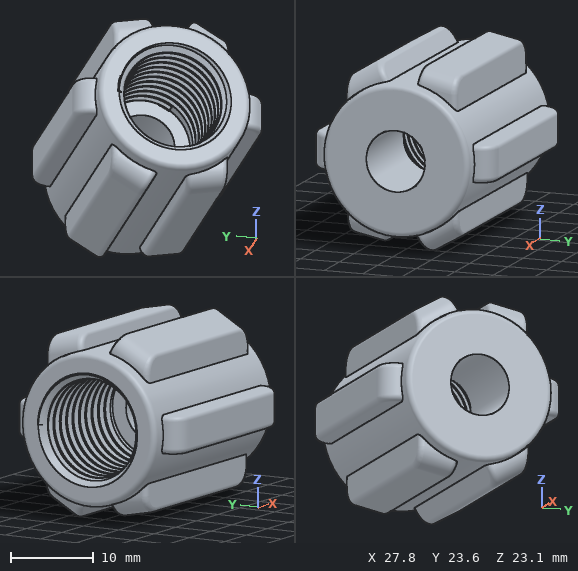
import cadquery as cq
import math

body_length = 27.78
body_radius = 9.5
body_edge_radius = 0.7

rib_length = 23.97
rib_top_distance = 11.8
low_rib_top_distance = 11.22
rib_root_distance = 6.95
rib_root_overlap = 1.1
rib_edge_radius = 0.7
rib_end_radius = rib_top_distance - body_radius
side_rib_width = 4.78
steep_rib_tilt = 30.0
steep_rib_inner_offset = 3.22
steep_rib_outer_y = 7.3
shallow_rib_tilt = 11.3
shallow_rib_inner_offset = -0.08
shallow_rib_outer_y = 7.15

hole_radius = 3.8
socket_depth = 15.28
socket_mouth_radius = 6.2
socket_taper = 1 / 32
chamfer_radius = 7.0
thread_pitch = 1.42
thread_crest_width = 0.33
thread_half_angle = 30.0
thread_start_depth = 0.08
thread_cutter_overlap = 0.1


def socket_radius(depth):
    return socket_mouth_radius - socket_taper * depth


def make_body():
    sleeve = cq.Workplane("YZ").circle(body_radius).extrude(body_length)
    sleeve = sleeve.translate((-body_length / 2, 0, 0))
    return sleeve.edges("%CIRCLE").fillet(body_edge_radius)


def make_rib(profile):
    """Extrude a (y, z) quadrilateral listed as: root, outer corner, outer corner, root."""
    rib = cq.Workplane("YZ").polyline(profile).close().extrude(rib_length / 2, both=True)
    (y1, z1), (y2, z2) = profile[1:3]
    top_middle = ((y1 + y2) / 2, (z1 + z2) / 2)
    end_edges = [(side * rib_length / 2, *top_middle) for side in (-1, 1)]
    rib = rib.edges(cq.selectors.NearestToPointSelector(end_edges[0])).fillet(rib_end_radius)
    rib = rib.edges(cq.selectors.NearestToPointSelector(end_edges[1])).fillet(rib_end_radius)
    flank_edges = rib.faces(cq.selectors.NearestToPointSelector((0, *top_middle))).edges("|X")
    return flank_edges.fillet(rib_edge_radius)


def make_side_rib():
    half = side_rib_width / 2
    return make_rib([
        (rib_root_distance, -half),
        (rib_top_distance, -half),
        (rib_top_distance, half),
        (rib_root_distance, half),
    ])


def make_tilted_rib(tilt, inner_offset, outer_y, top_distance=rib_top_distance):
    """Upper rib on the +Y side: inner flank square to the outer face, outer flank upright."""
    sine = math.sin(math.radians(tilt))
    cosine = math.cos(math.radians(tilt))

    def corner(distance, offset):
        return (distance * sine - offset * cosine, distance * cosine + offset * sine)

    outer_offset = (top_distance * sine - outer_y) / cosine
    outer_corner = corner(top_distance, outer_offset)
    outer_root_z = math.sqrt(body_radius**2 - outer_y**2) - rib_root_overlap
    return make_rib([
        corner(rib_root_distance, inner_offset),
        corner(top_distance, inner_offset),
        outer_corner,
        (outer_y, outer_root_z),
    ])


def make_ribs():
    def half_turn(rib):
        return rib.rotate((0, 0, 0), (1, 0, 0), 180)

    side = make_side_rib()
    steep = make_tilted_rib(steep_rib_tilt, steep_rib_inner_offset, steep_rib_outer_y).mirror("XZ")
    shallow_shape = (shallow_rib_tilt, shallow_rib_inner_offset, shallow_rib_outer_y)
    shallow = make_tilted_rib(*shallow_shape)
    low_shallow = make_tilted_rib(*shallow_shape, top_distance=low_rib_top_distance)
    return [side, half_turn(side), steep, half_turn(steep), shallow, half_turn(low_shallow)]


def make_socket():
    """Stepped and tapered bore, revolved about the axis."""
    chamfer_depth = (chamfer_radius - socket_mouth_radius) / (1 - socket_taper)
    bore = (
        cq.Workplane("XY")
        .moveTo(0, 0)
        .lineTo(0, chamfer_radius)
        .lineTo(chamfer_depth, socket_radius(chamfer_depth))
        .lineTo(socket_depth, socket_radius(socket_depth))
        .lineTo(socket_depth, hole_radius)
        .lineTo(body_length, hole_radius)
        .lineTo(body_length, 0)
        .close()
        .revolve(360, (0, 0, 0), (1, 0, 0))
    )
    return bore.translate((-body_length / 2, 0, 0))


def make_thread_groove():
    """V groove along a right-hand tapered helix, from the mouth to the socket floor."""
    half_width = (thread_pitch - thread_crest_width) / 2
    groove_depth = half_width / math.tan(math.radians(thread_half_angle))
    base_half = half_width + thread_cutter_overlap * math.tan(math.radians(thread_half_angle))
    run = socket_depth - half_width - thread_start_depth
    start_radius = socket_radius(thread_start_depth)

    helix = cq.Wire.makeHelix(
        thread_pitch, run, start_radius, angle=-math.degrees(math.atan(socket_taper))
    )
    groove = (
        cq.Workplane("XZ")
        .moveTo(start_radius - thread_cutter_overlap, -base_half)
        .lineTo(start_radius + groove_depth, 0)
        .lineTo(start_radius - thread_cutter_overlap, base_half)
        .close()
        .sweep(cq.Workplane(helix), isFrenet=True)
    )
    groove = groove.rotate((0, 0, 0), (0, 1, 0), 90).rotate((0, 0, 0), (1, 0, 0), 90)
    return groove.translate((thread_start_depth - body_length / 2, 0, 0))


result = make_body()
for grip_rib in make_ribs():
    result = result.union(grip_rib)
result = result.cut(make_socket()).cut(make_thread_groove())